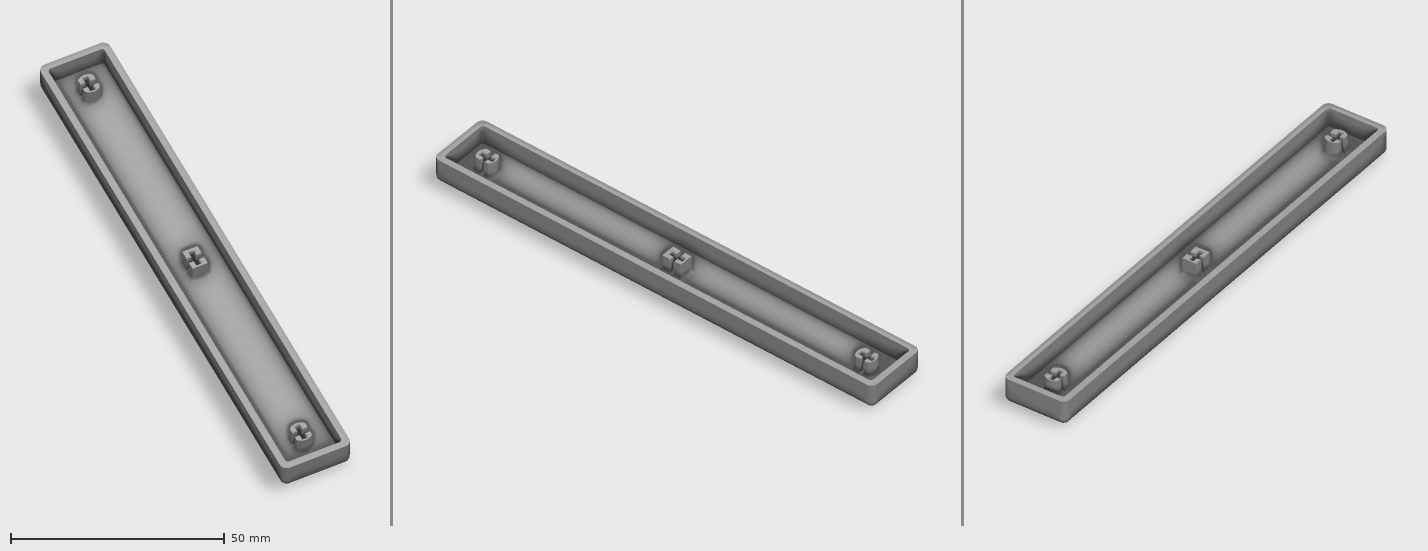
import cadquery as cq

length = 132.4
width = 18.0
height = 7.0
wall = 1.7
floor = 1.6
outer_radius = 1.7
inner_radius = 0.8

stem_length = 5.5
stem_width = 4.0
stem_height = 4.6
stem_spacing = 57.2
end_stem_diameter = 5.4
stem_edge_radius = 0.1
foot_radius = 0.99

socket_length = 4.1
socket_slot = 1.2
socket_root_radius = 0.58
mouth_chamfer = 0.3

pad_depth = floor / 2
pad_length = stem_length + 4 * foot_radius
pad_width = stem_width + 4 * foot_radius

pick_margin = 0.1

on_floor = cq.Workplane("XY", origin=(0, 0, floor))


def make_tray():
    """Open-topped tray with rounded corners and a rounded bottom edge."""
    body = cq.Workplane("XY").box(length, width, height, centered=(True, True, False))
    body = body.edges("|Z").fillet(outer_radius).faces("<Z").edges().fillet(outer_radius)
    cavity = (
        on_floor.box(length - 2 * wall, width - 2 * wall, height, centered=(True, True, False))
        .edges("|Z")
        .fillet(inner_radius)
    )
    return body.cut(cavity)


def add_foot(post):
    """Set a post on its pad and flare it into the floor with a concave foot."""
    post = post.edges("|Z").fillet(stem_edge_radius)
    pad = on_floor.rect(pad_length, pad_width).extrude(-pad_depth)
    foot_region = cq.selectors.BoxSelector(
        (-pad_length / 2 + foot_radius, -pad_width / 2 + foot_radius, floor - pick_margin),
        (pad_length / 2 - foot_radius, pad_width / 2 - foot_radius, floor + pick_margin),
    )
    return pad.union(post).edges(foot_region).fillet(foot_radius)


def make_slot(size_x, size_y):
    """Slot cutter standing on the floor, with rounded roots and a flared top."""
    slot = (
        on_floor.box(size_x, size_y, stem_height, centered=(True, True, False))
        .faces("<Z")
        .edges()
        .fillet(socket_root_radius)
    )
    flare = (
        cq.Workplane("XY", origin=(0, 0, floor + stem_height))
        .rect(size_x + 2 * mouth_chamfer, size_y + 2 * mouth_chamfer)
        .workplane(offset=-mouth_chamfer)
        .rect(size_x, size_y)
        .loft()
    )
    return slot.union(flare)


def make_stem(post):
    """Post with its foot and the cross-shaped socket."""
    along_x = make_slot(socket_length, socket_slot)
    along_y = make_slot(socket_slot, pad_width)
    return add_foot(post).cut(along_x).cut(along_y)


block_post = on_floor.rect(stem_length, stem_width).extrude(stem_height)
round_post = on_floor.circle(end_stem_diameter / 2).extrude(stem_height).intersect(block_post)

result = make_tray().union(make_stem(block_post))
end_stem = make_stem(round_post)
for x in (-stem_spacing, stem_spacing):
    result = result.union(end_stem.translate((x, 0, 0)))